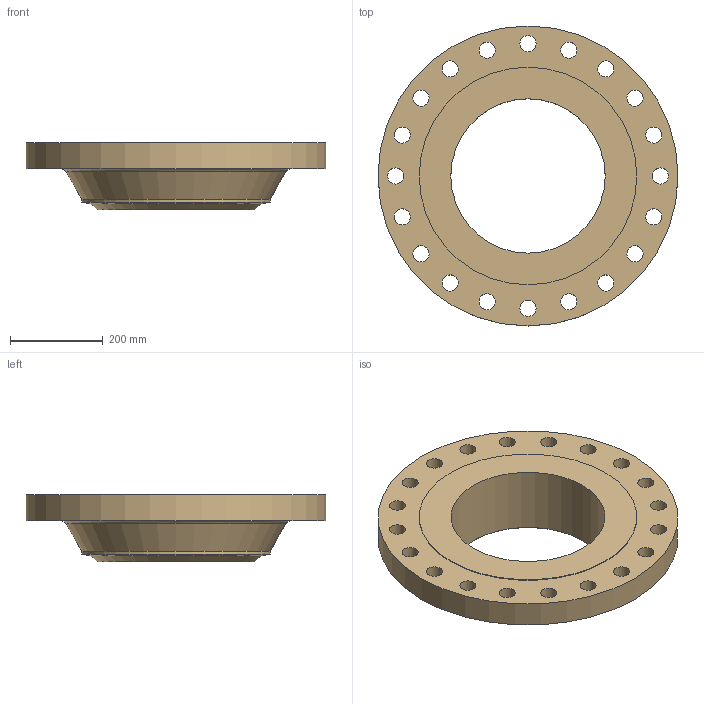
import cadquery as cq
import math


flange_diameter = 647.7
overall_height = 146.05
ring_thickness = 57.15
face_diameter = 469.9
face_height = 1.6

bolt_count = 20
bolt_circle_diameter = 571.5
bolt_hole_diameter = 34.925

bore_diameter = 333.35
hub_base_diameter = 482.6
hub_end_diameter = 406.4
hub_taper_angle = 30.0
hub_fillet_radius = 12.7

root_face_width = 1.6
bevel_break_width = 19.0
steep_bevel_angle = 37.5
shallow_bevel_angle = 10.0

flange_radius = flange_diameter / 2
face_radius = face_diameter / 2
bore_radius = bore_diameter / 2
hub_base_radius = hub_base_diameter / 2
hub_end_radius = hub_end_diameter / 2
root_radius = bore_radius + root_face_width
bevel_break_radius = bore_radius + bevel_break_width

ring_bottom = overall_height - ring_thickness
ring_top = overall_height - face_height
taper_height = (hub_base_radius - hub_end_radius) / math.tan(math.radians(hub_taper_angle))
taper_bottom = ring_bottom - taper_height
bevel_break_level = (bevel_break_radius - root_radius) * math.tan(math.radians(steep_bevel_angle))
shallow_bevel_rise = (hub_end_radius - bevel_break_radius) * math.tan(math.radians(shallow_bevel_angle))
bevel_top = bevel_break_level + shallow_bevel_rise

fillet_tangent = hub_fillet_radius * math.tan(math.radians(hub_taper_angle))
fillet_outer_radius = hub_base_radius + fillet_tangent
fillet_taper_radius = hub_base_radius - fillet_tangent * math.sin(math.radians(hub_taper_angle))
fillet_taper_level = ring_bottom - fillet_tangent * math.cos(math.radians(hub_taper_angle))


def make_body():
    """Revolve the half section, drawn on the -X side, about the Z axis."""
    section = (
        cq.Workplane("XZ")
        .moveTo(-bore_radius, 0)
        .lineTo(-root_radius, 0)
        .lineTo(-bevel_break_radius, bevel_break_level)
        .lineTo(-hub_end_radius, bevel_top)
        .lineTo(-hub_end_radius, taper_bottom)
        .lineTo(-fillet_taper_radius, fillet_taper_level)
        .radiusArc((-fillet_outer_radius, ring_bottom), -hub_fillet_radius)
        .lineTo(-flange_radius, ring_bottom)
        .lineTo(-flange_radius, ring_top)
        .lineTo(-face_radius, ring_top)
        .lineTo(-face_radius, overall_height)
        .lineTo(-bore_radius, overall_height)
        .close()
    )
    return section.revolve(360, (0, 0, 0), (0, 1, 0))


def make_bolt_holes():
    """Cutters for the evenly spaced bolt holes, through the full ring."""
    return (
        cq.Workplane("XY")
        .workplane(offset=ring_bottom)
        .polarArray(bolt_circle_diameter / 2, 0, 360, bolt_count)
        .circle(bolt_hole_diameter / 2)
        .extrude(ring_thickness)
    )


result = make_body().cut(make_bolt_holes())